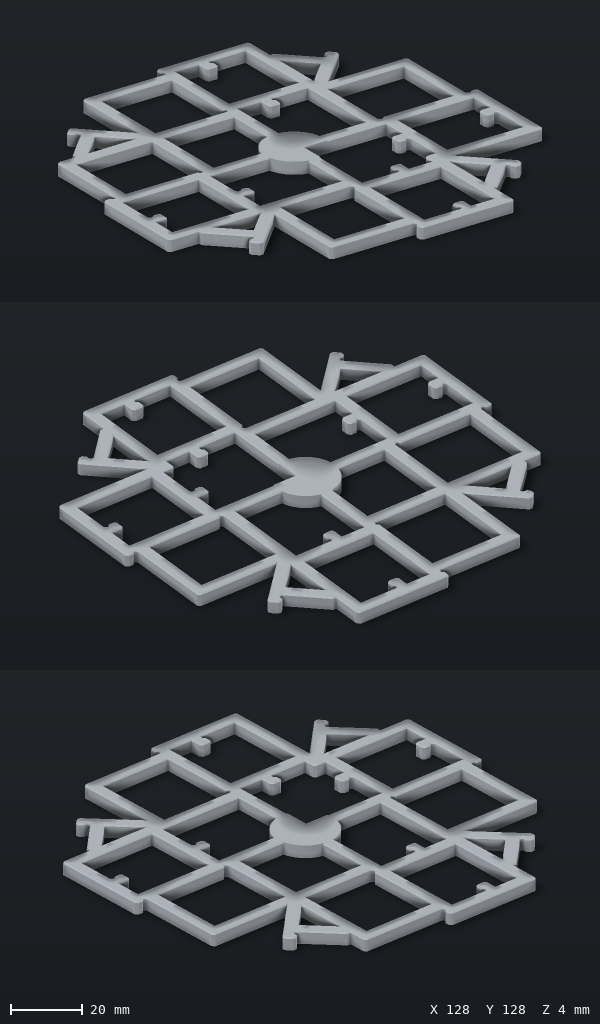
import cadquery as cq
import math

half_span = 64.0
bar = half_span / 16
thickness = bar
reach = bar
hook_length = 4.2
notch_radius = 0.8
lip_bevel = 0.3
corner_bevel = 0.8
rim_chamfer = 0.4
hub_radius = 10.0
near_hook = 12.0
far_hook = 16.0
brace_limit = 53.8

half_bar = bar / 2
hooked_in = half_span - bar
plain_out = half_span - reach
pitch = plain_out / 2
plain_in = plain_out - bar
mid_out = plain_out - pitch
mid_in = mid_out - bar
shift_out = half_span - pitch
shift_in = shift_out - bar
mid_centre = (mid_in + mid_out) / 2


def block(x0, x1, y0, y1):
    """Full-height block between two opposite corners."""
    return (
        cq.Workplane("XY")
        .center((x0 + x1) / 2, (y0 + y1) / 2)
        .rect(x1 - x0, y1 - y0)
        .extrude(thickness)
    )


def frame(x0, x1, y0, y1):
    """One rectangular cell: a ring of bars with bevelled outer corners."""
    opening = block(x0 + bar, x1 - bar, y0 + bar, y1 - bar)
    return block(x0, x1, y0, y1).edges("|Z").chamfer(corner_bevel).cut(opening)


def notch():
    """Round undercut in the -X side of a bar that runs along +Y, rooted at y = 0."""
    groove = cq.Workplane("XY").center(-half_bar, notch_radius).circle(notch_radius).extrude(thickness)
    groove_edge = notch_radius + math.sqrt(notch_radius**2 - lip_bevel**2)
    flare = (
        cq.Workplane("XY")
        .moveTo(-half_bar, notch_radius)
        .lineTo(lip_bevel - half_bar, groove_edge)
        .lineTo(-half_bar, 2 * notch_radius + lip_bevel)
        .close()
        .extrude(thickness)
    )
    return groove.union(flare)


def hook(length):
    """Hook growing along +Y from y = 0, undercut on its -X side."""
    stem = block(-half_bar, half_bar, 0, length)
    return stem.edges("|Z").edges(">Y").chamfer(corner_bevel).cut(notch())


def arm():
    """Bar along +Y ending in a hook, with a brace branching off to -X."""
    shaft = block(-half_bar, half_bar, 0, plain_out)
    brace = block(-half_span, 0, plain_in, plain_out)
    return shaft.union(brace).union(hook(reach).translate((0, plain_out, 0)))


def place(shape, x, y, angle):
    """Turn a shape about the Z axis, then move its origin to x, y."""
    return shape.rotate((0, 0, 0), (0, 0, 1), angle).translate((x, y, 0))


def with_mirror(shape, plane):
    return shape.union(shape.mirror(plane))


plate = frame(-mid_out, half_bar, mid_in, plain_out)
plate = plate.union(frame(-shift_out, half_bar, -half_bar, mid_out))
plate = plate.union(frame(-mid_out, half_bar, -mid_out, half_bar))
plate = plate.union(frame(-mid_out, half_bar, -plain_out, -mid_in))

plate = plate.union(with_mirror(frame(-half_span, -shift_in, -half_bar, mid_out), "YZ"))
plate = plate.union(with_mirror(frame(-plain_out, -mid_in, -mid_out, half_bar), "YZ"))

plate = plate.union(with_mirror(frame(-half_bar, mid_out, shift_in, half_span), "XZ"))
plate = plate.union(frame(-half_bar, mid_out, -shift_out, half_bar))

post = block(mid_in, mid_out, mid_in, mid_out)
plate = plate.union(post.edges("|Z").edges("<X").edges("<Y").chamfer(corner_bevel))

upper_quadrant = block(-brace_limit, -mid_centre, mid_centre, brace_limit)
lower_quadrant = upper_quadrant.mirror("XZ")
upper_arm = place(arm(), 0, 0, 45).intersect(upper_quadrant)
lower_arm = place(arm(), 0, 0, 135).intersect(lower_quadrant)
for diagonal in (upper_arm, lower_arm):
    plate = plate.union(with_mirror(diagonal, "YZ"))

inner_hook = hook(hook_length)
for face in (hooked_in, shift_in):
    plate = plate.union(place(inner_hook, near_hook, face, 180))
    plate = plate.union(place(inner_hook, far_hook, -face, 0))
    plate = plate.union(place(inner_hook, -face, near_hook, -90))
    plate = plate.union(place(inner_hook, face, far_hook, 90))

for face in (plain_out, mid_out):
    plate = plate.cut(with_mirror(place(notch(), 0, face, 0), "XZ"))
    plate = plate.cut(with_mirror(place(notch(), -face, 0, 90), "YZ"))

plate = plate.faces(">Z").edges().chamfer(rim_chamfer)
round_hub = cq.Workplane("XY").circle(hub_radius).extrude(thickness)
hub = round_hub.cut(block(half_bar, half_span, half_bar, half_span))
result = plate.union(hub)